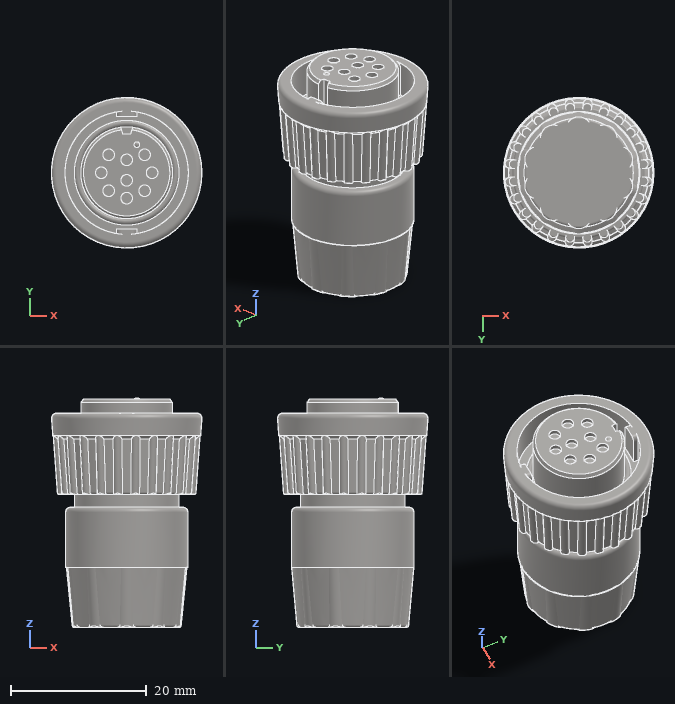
import cadquery as cq
import math

SLEEVE_BOTTOM = 8.9
SLEEVE_TOP = 17.77
RING_BOTTOM = 19.66
RIB_FADE = 27.8
COLLAR_BOTTOM = 28.35
RING_TOP = 31.64
PLUG_TOP = 33.74
TOTAL_HEIGHT = 33.88

CAP_BOTTOM_RADIUS = 8.02
CAP_TOP_RADIUS = 8.9
CAP_EDGE_FILLET = 0.4
CAP_RIB_COUNT = 10
CAP_RIB_RADIUS = 1.95
CAP_RIB_BOTTOM_REACH = 8.22
CAP_RIB_TOP_REACH = 9.02

SLEEVE_RADIUS = 9.05
SLEEVE_FILLET = 0.78
NECK_RADIUS = 7.73

RING_TOP_RADIUS = 11.17
COLLAR_BOTTOM_RADIUS = 10.94
RING_FILLET = 0.8
RING_EDGE_FILLET = 0.3
KNURL_COUNT = 24
KNURL_RADIUS = 0.66
KNURL_BOTTOM_REACH = 10.3
KNURL_TOP_REACH = 10.93
KNURL_HEIGHT = 0.57
BORE_RADIUS = 9.1
BORE_DEPTH = 5.2
LUG_WIDTH = 3.0
LUG_INNER_RADIUS = 8.27
LUG_CORNER_RADIUS = 0.8

RIB_CLEARANCE = 0.02

PLUG_RADIUS = 6.77
PLUG_CHAMFER_WIDTH = 0.4
PLUG_CHAMFER_HEIGHT = 0.55
SEAL_RADIUS = (NECK_RADIUS - PLUG_RADIUS) / 2
HOLE_RADIUS = 0.85
HOLE_DEPTH = 0.85
HOLE_CIRCLE_RADIUS = 3.75
HOLE_CIRCLE_STEP = 45
KEY_ANGLE = 90
INNER_HOLES_Y = (1.9, -1.12)
KEYWAY_OUTER_WIDTH = 1.8
KEYWAY_INNER_WIDTH = 1.2
KEYWAY_FLOOR_RADIUS = 5.75
MARK_X = 1.5
MARK_Y = 4.15
MARK_RADIUS = 0.42
MARK_ROOT = 0.2

BORE_FLOOR = RING_TOP - BORE_DEPTH


def disc(radius, bottom, top):
    return cq.Workplane("XY", origin=(0, 0, bottom)).circle(radius).extrude(top - bottom)


def frustum(bottom_radius, top_radius, bottom, top):
    outline = [(0, bottom), (bottom_radius, bottom), (top_radius, top), (0, top)]
    return cq.Workplane("XZ").polyline(outline).close().revolve(360, (0, 0), (0, 1))


def ribs(count, first_angle, rib_radius, bottom_reach, top_reach, bottom, top):
    """Round bars leaning with the taper; their outermost lines run between the two reaches."""
    lean = cq.Vector(top_reach - bottom_reach, 0, top - bottom)
    start = cq.Vector(bottom_reach - rib_radius, 0, bottom)
    overrun = lean.normalized() * rib_radius
    bar = cq.Solid.makeCylinder(rib_radius, lean.Length + 2 * rib_radius, start - overrun, lean)
    slab = disc(bottom_reach + top_reach, bottom, top)
    rib = cq.Workplane(bar).intersect(slab)
    bars = cq.Workplane()
    for i in range(count):
        angle = first_angle + i * 360 / count
        bars = bars.add(rib.rotate((0, 0, 0), (0, 0, 1), angle))
    return bars


def round_bottom(body, radius):
    return body.faces("<Z").edges().fillet(radius)


def fuse(body, bars):
    for bar in bars.vals():
        body = body.union(cq.Workplane(bar))
    return body


def make_cap():
    body = frustum(CAP_BOTTOM_RADIUS, CAP_TOP_RADIUS, 0, SLEEVE_BOTTOM)
    bars = ribs(
        CAP_RIB_COUNT, -90, CAP_RIB_RADIUS,
        CAP_RIB_BOTTOM_REACH, CAP_RIB_TOP_REACH, 0, SLEEVE_BOTTOM,
    )
    envelope = frustum(
        CAP_RIB_BOTTOM_REACH + RIB_CLEARANCE, CAP_RIB_TOP_REACH + RIB_CLEARANCE, 0, SLEEVE_BOTTOM,
    )
    envelope = round_bottom(envelope, CAP_EDGE_FILLET)
    return fuse(round_bottom(body, CAP_EDGE_FILLET), bars).intersect(envelope)


def make_sleeve():
    sleeve = disc(SLEEVE_RADIUS, SLEEVE_BOTTOM, SLEEVE_TOP)
    return sleeve.faces(">Z").edges().fillet(SLEEVE_FILLET)


def make_ring():
    collar = frustum(COLLAR_BOTTOM_RADIUS, RING_TOP_RADIUS, COLLAR_BOTTOM, RING_TOP)
    collar = collar.faces(">Z").edges().fillet(RING_FILLET)
    wall_bottom = KNURL_BOTTOM_REACH - KNURL_HEIGHT
    wall_top = KNURL_TOP_REACH - KNURL_HEIGHT
    wall = frustum(wall_bottom, wall_top, RING_BOTTOM, COLLAR_BOTTOM)
    flare = frustum(wall_top, COLLAR_BOTTOM_RADIUS, RIB_FADE, COLLAR_BOTTOM)
    bars = ribs(
        KNURL_COUNT, 360 / KNURL_COUNT / 2, KNURL_RADIUS,
        KNURL_BOTTOM_REACH, KNURL_TOP_REACH, RING_BOTTOM, COLLAR_BOTTOM,
    )
    envelope = frustum(
        KNURL_BOTTOM_REACH + RIB_CLEARANCE, KNURL_TOP_REACH + RIB_CLEARANCE, RING_BOTTOM, COLLAR_BOTTOM,
    )
    envelope = round_bottom(envelope, RING_EDGE_FILLET)
    knurl = fuse(round_bottom(wall, RING_EDGE_FILLET), bars).intersect(envelope)
    bore = disc(BORE_RADIUS, BORE_FLOOR, RING_TOP)
    return knurl.union(flare).union(collar).cut(bore)


def make_lugs():
    """Two opposite ridges along the bore with rounded upper corners."""
    length = 2 * (BORE_RADIUS + RING_FILLET)
    height = RING_TOP - BORE_FLOOR
    bar = cq.Workplane("XY", origin=(0, 0, BORE_FLOOR))
    bar = bar.box(LUG_WIDTH, length, height, centered=(True, True, False))
    bar = bar.edges("|Y and >Z").fillet(LUG_CORNER_RADIUS)
    gap = cq.Workplane("XY", origin=(0, 0, BORE_FLOOR))
    gap = gap.box(LUG_WIDTH, 2 * LUG_INNER_RADIUS, height, centered=(True, True, False))
    return bar.cut(gap)


def make_plug():
    plug = disc(PLUG_RADIUS, BORE_FLOOR, PLUG_TOP)
    plug = plug.faces(">Z").chamfer(PLUG_CHAMFER_HEIGHT, PLUG_CHAMFER_WIDTH)
    angles = [a for a in range(0, 360, HOLE_CIRCLE_STEP) if a != KEY_ANGLE]
    centers = [
        (HOLE_CIRCLE_RADIUS * math.cos(math.radians(a)), HOLE_CIRCLE_RADIUS * math.sin(math.radians(a)))
        for a in angles
    ]
    centers += [(0, y) for y in INNER_HOLES_Y]
    holes = cq.Workplane("XY", origin=(0, 0, PLUG_TOP)).pushPoints(centers)
    plug = plug.cut(holes.circle(HOLE_RADIUS).extrude(-HOLE_DEPTH))
    keyway_outline = [
        (-KEYWAY_INNER_WIDTH / 2, KEYWAY_FLOOR_RADIUS),
        (KEYWAY_INNER_WIDTH / 2, KEYWAY_FLOOR_RADIUS),
        (KEYWAY_OUTER_WIDTH / 2, PLUG_RADIUS),
        (-KEYWAY_OUTER_WIDTH / 2, PLUG_RADIUS),
    ]
    keyway = cq.Workplane("XY", origin=(0, 0, BORE_FLOOR)).polyline(keyway_outline).close()
    return plug.cut(keyway.extrude(PLUG_TOP - BORE_FLOOR))


def make_mark():
    """Shallow dome on the plug face that marks the first contact."""
    height = TOTAL_HEIGHT - PLUG_TOP
    sphere_radius = (MARK_RADIUS**2 + height**2) / (2 * height)
    center = (MARK_X, MARK_Y, TOTAL_HEIGHT - sphere_radius)
    sphere = cq.Workplane("XY", origin=center).sphere(sphere_radius)
    return sphere.intersect(disc(PLUG_RADIUS, PLUG_TOP - MARK_ROOT, TOTAL_HEIGHT))


def make_seal():
    """Round sealing ring half sunk into the bore floor around the plug."""
    seal = cq.Solid.makeTorus((PLUG_RADIUS + NECK_RADIUS) / 2, SEAL_RADIUS, cq.Vector(0, 0, BORE_FLOOR))
    return cq.Workplane(seal)


result = make_cap().union(make_sleeve())
result = result.union(disc(NECK_RADIUS, SLEEVE_TOP, RING_BOTTOM))
result = result.union(make_ring()).union(make_plug()).union(make_seal())
result = result.union(make_lugs()).union(make_mark())